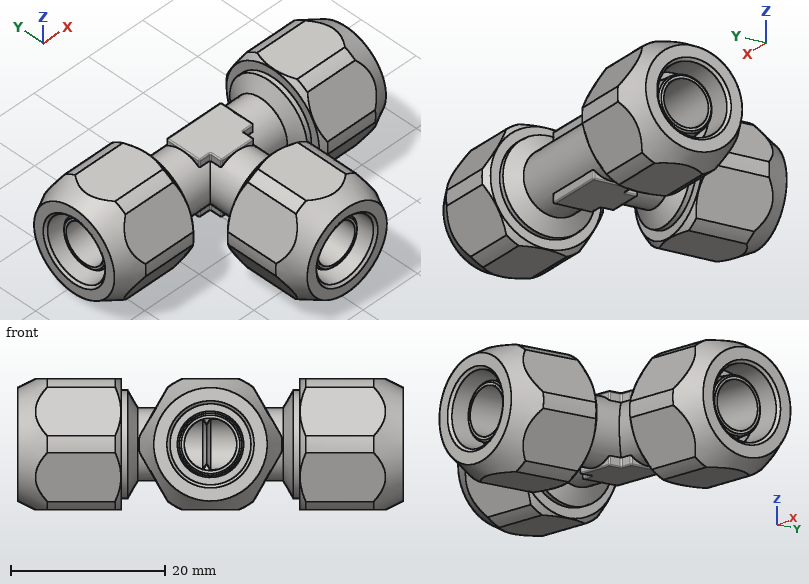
import cadquery as cq
import math

arm_length = 25.0

nut_across_flats = 17.0
nut_corner_radius = 9.25
nut_start = 11.55
nut_end_radius = 7.35
nut_taper_length = 3.85
nut_back_chamfer = 0.8

mouth_radius = 5.25
mouth_chamfer = 0.4
mouth_depth = 5.0

stem_setback = 1.95
stem_tip_radius = 3.8
stem_neck_radius = 4.05
stem_root_radius = 4.3
stem_tip_length = 0.25

pipe_radius = 4.75
collar_radius = 7.05
collar_start = 10.75
collar_cone_start = 9.4

bore_radius = 3.4
drill_tip_angle = 118.0
left_bore_start = 1.0
right_bore_start = 0.0
branch_bore_start = 1.0

pad_half_length = 5.0
pad_half_width = 3.0
pad_neck_half_width = pad_half_width
pad_neck_reach = 5.0
pad_top = 5.0
pad_edge_radius = 0.2

right_angle = 0
left_angle = 180
branch_angle = -90


def revolve_on_x(points):
    """Turn a closed outline of (distance along the arm, radius) points about the X axis."""
    return cq.Workplane("XY").polyline(points).close().revolve(360, (0, 0, 0), (1, 0, 0))


def make_nut():
    """Solid hexagon nut with rounded corners, a long front taper and a short back chamfer."""
    length = arm_length - nut_start
    across_corners = nut_across_flats / math.cos(math.pi / 6)
    hexagon = (
        cq.Workplane("YZ", origin=(nut_start, 0, 0))
        .polygon(6, across_corners)
        .extrude(length)
    )
    turned_blank = revolve_on_x([
        (nut_start, 0),
        (nut_start, nut_corner_radius - nut_back_chamfer),
        (nut_start + nut_back_chamfer, nut_corner_radius),
        (arm_length - nut_taper_length, nut_corner_radius),
        (arm_length, nut_end_radius),
        (arm_length, 0),
    ])
    return hexagon.intersect(turned_blank)


def make_mouth():
    """Ring-shaped space between the nut and the tube stem, open at the arm's end."""
    floor = arm_length - mouth_depth
    stem_end = arm_length - stem_setback
    return revolve_on_x([
        (floor, stem_root_radius),
        (stem_end - stem_tip_length, stem_neck_radius),
        (stem_end, stem_tip_radius),
        (stem_end, 0),
        (arm_length, 0),
        (arm_length, mouth_radius + mouth_chamfer),
        (arm_length - mouth_chamfer, mouth_radius),
        (floor, mouth_radius),
    ])


def make_arm():
    """Pipe, collar and hollowed nut of one arm along +X, before drilling."""
    pipe_and_collar = revolve_on_x([
        (0, 0),
        (0, pipe_radius),
        (collar_cone_start, pipe_radius),
        (collar_start, collar_radius),
        (nut_start, collar_radius),
        (nut_start, 0),
    ])
    return pipe_and_collar.union(make_nut()).cut(make_mouth())


def make_bore(start):
    """Drill shape along +X whose conical tip points back past the start of the full diameter."""
    tip_length = bore_radius / math.tan(math.radians(drill_tip_angle / 2))
    return revolve_on_x([
        (start - tip_length, 0),
        (start, bore_radius),
        (arm_length, bore_radius),
        (arm_length, 0),
    ])


def make_pads():
    """T-shaped block through the crossing whose two ends form the wrench pads."""
    bar = cq.Workplane("XY").box(2 * pad_half_length, 2 * pad_half_width, 2 * pad_top)
    neck = (
        cq.Workplane("XY")
        .box(2 * pad_neck_half_width, pad_neck_reach, 2 * pad_top)
        .translate((0, -pad_neck_reach / 2, 0))
    )
    block = bar.union(neck).edges("|Z").fillet(pad_edge_radius)
    return block.faces("|Z").edges().fillet(pad_edge_radius)


def turn(shape, angle):
    """Rotate a shape about the Z axis."""
    return shape.rotate((0, 0, 0), (0, 0, 1), angle)


bores = {
    right_angle: right_bore_start,
    left_angle: left_bore_start,
    branch_angle: branch_bore_start,
}

result = make_pads()
for angle in bores:
    result = result.union(turn(make_arm(), angle))
for angle, start in bores.items():
    result = result.cut(turn(make_bore(start), angle))